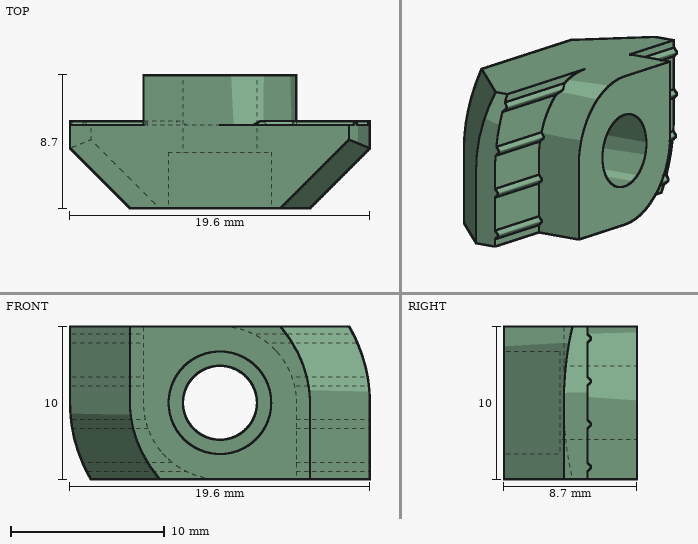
import cadquery as cq
import math

length = 19.6
height = 10.0
depth = 8.7
flange_depth = 5.45
bevel = 3.92
bore_diameter = 4.82
counterbore_diameter = 6.7
counterbore_depth = 3.67
ridge_half_width = 0.3
ridge_tip_radius = 0.1
ridge_pitch = 2.8
ridge_count = 4

half_length = length / 2
half_height = height / 2
turning_radius = half_length


def turning_outline(radius):
    """Rectangle two radii long, with arcs about the origin at +X+Z and -X-Z."""
    end_x = math.sqrt(radius**2 - half_height**2)
    middle_angle = math.asin(half_height / radius) / 2
    middle_x = radius * math.cos(middle_angle)
    middle_z = radius * math.sin(middle_angle)
    return (
        cq.Workplane("XZ")
        .moveTo(-radius, half_height)
        .lineTo(end_x, half_height)
        .threePointArc((middle_x, middle_z), (radius, 0))
        .lineTo(radius, -half_height)
        .lineTo(-end_x, -half_height)
        .threePointArc((-middle_x, -middle_z), (-radius, 0))
        .close()
    )


def beveled_body():
    """Full-height flange with straight 45 degree bevels at both ends."""
    front_half_length = half_length - bevel
    return (
        cq.Workplane("XY")
        .workplane(offset=-half_height)
        .moveTo(-front_half_length, 0)
        .lineTo(front_half_length, 0)
        .lineTo(half_length, bevel)
        .lineTo(half_length, flange_depth)
        .lineTo(-half_length, flange_depth)
        .lineTo(-half_length, bevel)
        .close()
        .extrude(height)
    )


def bevel_rounding_cutter():
    """Waste above a round that runs along the +X bevel, for Z > 0."""
    sag = turning_radius - math.sqrt(turning_radius**2 - half_height**2)
    middle_angle = math.asin(half_height / turning_radius) / 2
    middle_sag = turning_radius * (1 - math.cos(middle_angle))
    middle_z = turning_radius * math.sin(middle_angle)
    bevel_plane = cq.Plane(
        origin=(half_length - bevel, 0, 0), xDir=(1, -1, 0), normal=(-1, -1, 0)
    )
    return (
        cq.Workplane(bevel_plane)
        .moveTo(0, 0)
        .threePointArc((-middle_sag, middle_z), (-sag, half_height))
        .lineTo(sag, half_height)
        .lineTo(sag, 0)
        .close()
        .extrude(length, both=True)
    )


def ridge(center_z):
    """Gripping ridge along X: 45 degree flanks with a rounded tip."""
    sharp_tip = flange_depth + ridge_half_width
    wedge = (
        cq.Workplane("YZ", origin=(-half_length, 0, center_z))
        .moveTo(flange_depth, -ridge_half_width)
        .lineTo(sharp_tip, 0)
        .lineTo(flange_depth, ridge_half_width)
        .close()
        .extrude(length)
    )
    return wedge.edges(">Y").fillet(ridge_tip_radius)


cutter = bevel_rounding_cutter()
opposite_cutter = cutter.rotate((0, 0, 0), (0, 1, 0), 180)
flange = beveled_body().cut(cutter).cut(opposite_cutter)
first_ridge_z = -ridge_pitch * (ridge_count - 1) / 2
for index in range(ridge_count):
    flange = flange.union(ridge(first_ridge_z + index * ridge_pitch))
flange = flange.intersect(turning_outline(turning_radius).extrude(-depth))

neck = turning_outline(half_height).extrude(bevel - depth).translate((0, bevel, 0))

bore = cq.Workplane("XZ").circle(bore_diameter / 2).extrude(-depth)
counterbore = cq.Workplane("XZ").circle(counterbore_diameter / 2).extrude(-counterbore_depth)

result = flange.union(neck).cut(bore).cut(counterbore)